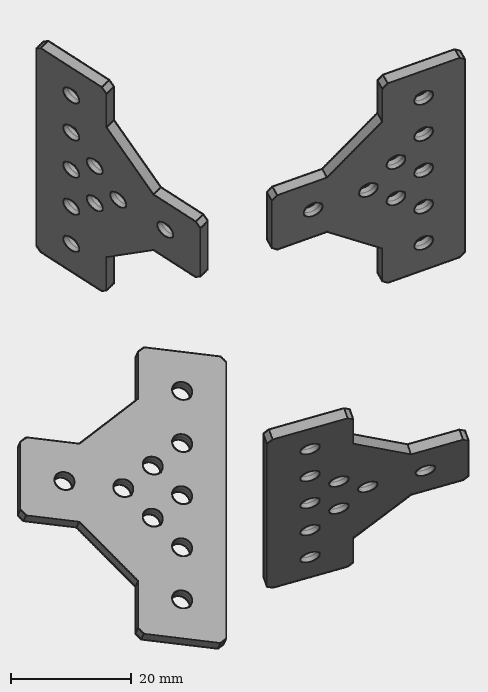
import cadquery as cq

length = 55.0
thickness = 2.0
hole_diameter = 3.4
corner_chamfer = 1.0

margin_in_pitches = 0.75
pitch = length / (4 + 2 * margin_in_pitches)
margin = margin_in_pitches * pitch

strip_width = 2 * margin
half_length = length / 2
half_arm = strip_width / 2
gusset = pitch
arm_start = strip_width + gusset
arm_end = arm_start + pitch


def plate():
    """T-shaped plate with 45 degree gussets, centred on Z = 0 and Y = 0."""
    outline = [
        (0, -half_length),
        (strip_width, -half_length),
        (strip_width, -half_arm - gusset),
        (arm_start, -half_arm),
        (arm_end, -half_arm),
        (arm_end, half_arm),
        (arm_start, half_arm),
        (strip_width, half_arm + gusset),
        (strip_width, half_length),
        (0, half_length),
    ]
    return cq.Workplane("XZ").polyline(outline).close().extrude(thickness / 2, both=True)


def chamfer_outer_corners(body):
    """Chamfer the four bar end corners and the two arm tip corners."""
    bar_corners = body.faces("<Z or >Z").edges("|Y")
    body = bar_corners.chamfer(corner_chamfer)
    return body.faces(">X").edges("|Y").chamfer(corner_chamfer)


def hole_positions():
    """X, Z centres of the bar row, the arm row and the diagonal pair."""
    bar_row = [(margin, step * pitch) for step in range(-2, 3)]
    arm_row = [(margin + pitch, 0), (margin + 2 * pitch, 0)]
    diagonal_pair = [(margin + pitch / 2, side * pitch / 2) for side in (-1, 1)]
    return bar_row + arm_row + diagonal_pair


def hole_cutters():
    """Cylinders through the full plate thickness."""
    centres = cq.Workplane("XZ").pushPoints(hole_positions())
    return centres.circle(hole_diameter / 2).extrude(thickness, both=True)


result = chamfer_outer_corners(plate()).cut(hole_cutters())